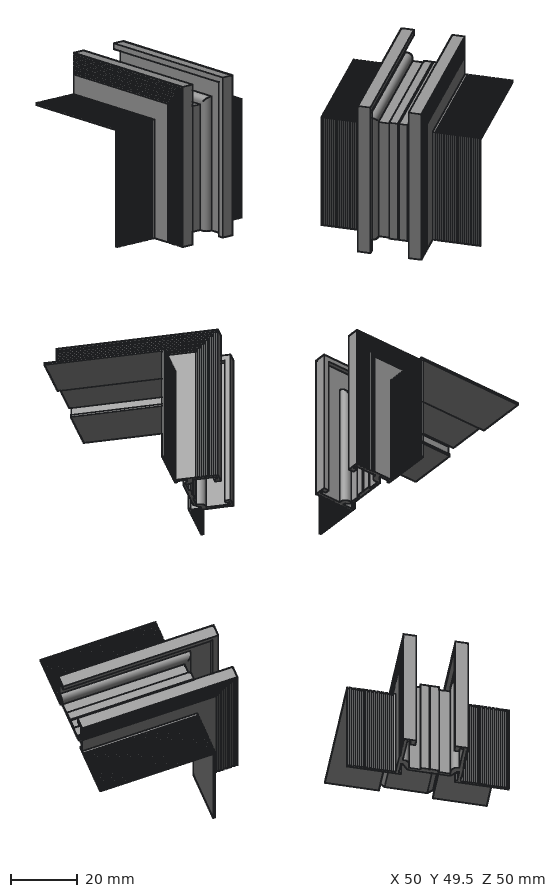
import cadquery as cq

LEG_LENGTH = 50.0
CORNER = LEG_LENGTH / 2

FLANGE_SPAN = 49.45
FLANGE_HALF = FLANGE_SPAN / 2
FLANGE_TOP = 12.95
FLANGE_BOTTOM = 13.65
FLANGE_INNER_HALF = 8.2

WALL_OUTER_HALF = 9.9
WALL_INNER_HALF = 8.6

LIP_HALF = 5.95
LIP_THICKNESS = 0.75
HOOK_HALF = 7.5
HOOK_DEPTH = 1.85

FLOOR_TOP = 10.75
FLOOR_BOTTOM = 11.6
ROUND_RADIUS = 1.8
ROUND_TOP = 8.1
ROUND_HALF = 6.35

POCKET_HALF = 8.9
POCKET_TOP = 9.75
POCKET_BREAK_HALF = 8.55
POCKET_EDGE_DEPTH = 9.9

PAD_HALF = 2.85
PAD_BASE_HALF = 2.6
PAD_TOP = 10.15

GROOVE_WIDTH = 0.6
GROOVE_DEPTH = 0.275
GROOVE_PITCH = 1.2
GROOVE_MARGIN = 0.2
FLANGE_GROOVES = 12
WALL_GROOVES = 6
PAD_GROOVE_WIDTH = 0.4
PAD_GROOVE_DEPTH = 0.3


def section_plane():
    """YZ workplane at the free end of the horizontal leg, origin on its outer face."""
    return cq.Workplane("YZ", origin=(-CORNER, 0, CORNER))


def extrude_leg(outline):
    """Close a section outline and run it along the whole leg."""
    return outline.close().extrude(LEG_LENGTH)


def side_rail():
    """Wall, hooked lip, rounded shoulder, half floor and flange of the +Y side."""
    underside_half = FLANGE_INNER_HALF - (FLOOR_BOTTOM - POCKET_EDGE_DEPTH)
    outline = (
        section_plane()
        .moveTo(0, -FLOOR_TOP)
        .lineTo(ROUND_HALF, -FLOOR_TOP)
        .lineTo(ROUND_HALF, -ROUND_TOP - ROUND_RADIUS)
        .radiusArc((ROUND_HALF + ROUND_RADIUS, -ROUND_TOP), ROUND_RADIUS)
        .lineTo(WALL_INNER_HALF, -ROUND_TOP)
        .lineTo(WALL_INNER_HALF, -LIP_THICKNESS)
        .lineTo(HOOK_HALF, -LIP_THICKNESS)
        .lineTo(HOOK_HALF, -HOOK_DEPTH)
        .lineTo(LIP_HALF, -HOOK_DEPTH)
        .lineTo(LIP_HALF, 0)
        .lineTo(WALL_OUTER_HALF, 0)
        .lineTo(WALL_OUTER_HALF, -FLANGE_TOP)
        .lineTo(FLANGE_HALF, -FLANGE_TOP)
        .lineTo(FLANGE_HALF, -FLANGE_BOTTOM)
        .lineTo(FLANGE_INNER_HALF, -FLANGE_BOTTOM)
        .lineTo(FLANGE_INNER_HALF, -FLANGE_TOP)
        .lineTo(POCKET_HALF, -FLANGE_TOP)
        .lineTo(POCKET_HALF, -POCKET_TOP)
        .lineTo(POCKET_BREAK_HALF, -POCKET_TOP)
        .lineTo(FLANGE_INNER_HALF, -POCKET_EDGE_DEPTH)
        .lineTo(underside_half, -FLOOR_BOTTOM)
        .lineTo(0, -FLOOR_BOTTOM)
    )
    return extrude_leg(outline)


def round_groove(first_edge, bottom, second_edge):
    """Full-length groove cutter; its arc passes through three (half, -depth) points."""
    return extrude_leg(section_plane().moveTo(*first_edge).threePointArc(bottom, second_edge))


def flange_groove(index):
    """Groove in the outer face of the flange, counted inward from its free edge."""
    outer_half = FLANGE_HALF - GROOVE_MARGIN - index * GROOVE_PITCH
    return round_groove(
        (outer_half, -FLANGE_TOP),
        (outer_half - GROOVE_WIDTH / 2, -FLANGE_TOP - GROOVE_DEPTH),
        (outer_half - GROOVE_WIDTH, -FLANGE_TOP),
    )


def wall_groove(index):
    """Groove in the outer side of the wall, counted inward from the outer face of the leg."""
    start_depth = GROOVE_MARGIN + index * GROOVE_PITCH
    return round_groove(
        (WALL_OUTER_HALF, -start_depth),
        (WALL_OUTER_HALF - GROOVE_DEPTH, -start_depth - GROOVE_WIDTH / 2),
        (WALL_OUTER_HALF, -start_depth - GROOVE_WIDTH),
    )


def centre_pad():
    """Dovetail-sided band along the middle of the floor, split by a shallow V-groove."""
    outline = section_plane().polyline([
        (-PAD_BASE_HALF, -FLOOR_BOTTOM),
        (-PAD_BASE_HALF, -FLOOR_TOP),
        (-PAD_HALF, -PAD_TOP),
        (-PAD_GROOVE_WIDTH / 2, -PAD_TOP),
        (0, -PAD_TOP - PAD_GROOVE_DEPTH),
        (PAD_GROOVE_WIDTH / 2, -PAD_TOP),
        (PAD_HALF, -PAD_TOP),
        (PAD_BASE_HALF, -FLOOR_TOP),
        (PAD_BASE_HALF, -FLOOR_BOTTOM),
    ])
    return extrude_leg(outline)


def mitred_leg():
    """Horizontal leg, cut at 45 degrees through the outer corner."""
    rail = side_rail()
    for index in range(FLANGE_GROOVES):
        rail = rail.cut(flange_groove(index))
    for index in range(WALL_GROOVES):
        rail = rail.cut(wall_groove(index))
    leg = rail.union(rail.mirror("XZ")).union(centre_pad())
    mitre = (
        cq.Workplane("XZ")
        .polyline([(-CORNER, -CORNER), (-CORNER, CORNER), (CORNER, CORNER)])
        .close()
        .extrude(FLANGE_HALF, both=True)
    )
    return leg.intersect(mitre)


horizontal_leg = mitred_leg()
vertical_leg = horizontal_leg.rotate((0, 0, 0), (1, 0, 1), 180)

result = horizontal_leg.union(vertical_leg)